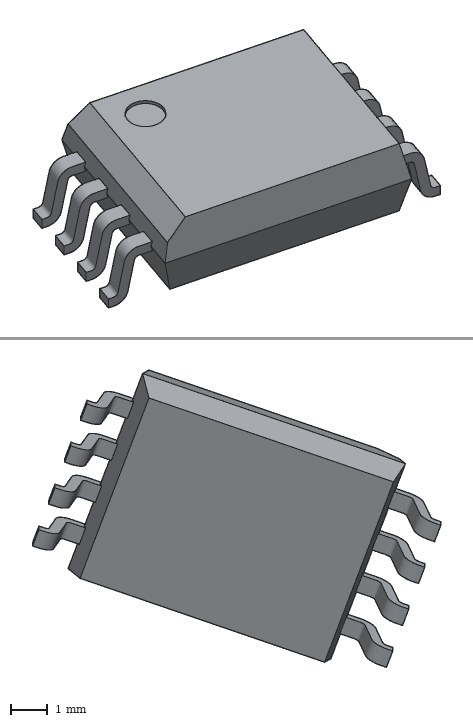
import cadquery as cq
import math

SPAN = 10.19
OVERALL_HEIGHT = 2.83

HOUSING_WIDTH = 5.93
HOUSING_LENGTH = 7.57
STANDOFF = 0.47
SIDE_TAPER = 0.22
END_TAPER = 0.26
BEVEL_TOP_Y = -3.05
PARTING_Z = (STANDOFF + OVERALL_HEIGHT) / 2
HALF_HEIGHT = OVERALL_HEIGHT - PARTING_Z
BEVEL_DROP = HALF_HEIGHT / 2

MARK_DIAMETER = 1.1
MARK_DEPTH = 0.1
MARK_X = -1.62
MARK_Y = -1.94

LEADS_PER_SIDE = 4
LEAD_PITCH = 1.27
LEAD_WIDTH = 0.5
LEAD_THICKNESS = 0.32
INNER_BEND = 0.14
OUTER_BEND = INNER_BEND + LEAD_THICKNESS
FOOT_FLAT = 0.15
SHOULDER_BEND_Y = 4.16
LEAD_TOP_Z = PARTING_Z + LEAD_THICKNESS / 2


def side_profile():
    """Housing outline in YZ: six sides, plus a bevel on the upper -Y corner."""
    half = HOUSING_LENGTH / 2
    inner = half - END_TAPER
    bevel_low_y = -half + END_TAPER * (1 - BEVEL_DROP / HALF_HEIGHT)
    return [
        (-half, PARTING_Z),
        (-inner, STANDOFF),
        (inner, STANDOFF),
        (half, PARTING_Z),
        (inner, OVERALL_HEIGHT),
        (BEVEL_TOP_Y, OVERALL_HEIGHT),
        (bevel_low_y, OVERALL_HEIGHT - BEVEL_DROP),
    ]


def end_profile():
    """Housing outline in XZ: a six-sided section, widest at the parting plane."""
    half = HOUSING_WIDTH / 2
    inner = half - SIDE_TAPER
    return [
        (-half, PARTING_Z),
        (-inner, STANDOFF),
        (inner, STANDOFF),
        (half, PARTING_Z),
        (inner, OVERALL_HEIGHT),
        (-inner, OVERALL_HEIGHT),
    ]


def make_housing():
    """Tapered housing, common to both profiles, with the round pin-1 recess."""
    along_x = cq.Workplane("YZ").polyline(side_profile()).close().extrude(HOUSING_WIDTH / 2, both=True)
    along_y = cq.Workplane("XZ").polyline(end_profile()).close().extrude(HOUSING_LENGTH / 2, both=True)
    mark = (
        cq.Workplane("XY", origin=(MARK_X, MARK_Y, OVERALL_HEIGHT))
        .circle(MARK_DIAMETER / 2)
        .extrude(-MARK_DEPTH)
    )
    return along_x.intersect(along_y).cut(mark)


def on_circle(center, radius, angle):
    """Point on a circle in YZ, with the angle in radians from +Y toward +Z."""
    return (center[0] + radius * math.cos(angle), center[1] + radius * math.sin(angle))


def lead_outline():
    """Closed gull-wing outline in YZ for a lead that points to +Y."""
    root_y = HOUSING_LENGTH / 2 - END_TAPER
    tip_y = SPAN / 2
    shoulder = (SHOULDER_BEND_Y, LEAD_TOP_Z - OUTER_BEND)
    foot = (tip_y - FOOT_FLAT, OUTER_BEND)

    run = foot[0] - shoulder[0]
    drop = shoulder[1] - foot[1]
    leg_angle = math.atan2(run, drop) - math.asin((INNER_BEND + OUTER_BEND) / math.hypot(run, drop))

    up = math.pi / 2
    shoulder_mid = (up + leg_angle) / 2
    down = up + math.pi
    foot_leg = leg_angle + math.pi
    foot_mid = shoulder_mid + math.pi

    return (
        cq.Workplane("YZ")
        .moveTo(root_y, LEAD_TOP_Z)
        .lineTo(*on_circle(shoulder, OUTER_BEND, up))
        .threePointArc(on_circle(shoulder, OUTER_BEND, shoulder_mid), on_circle(shoulder, OUTER_BEND, leg_angle))
        .lineTo(*on_circle(foot, INNER_BEND, foot_leg))
        .threePointArc(on_circle(foot, INNER_BEND, foot_mid), on_circle(foot, INNER_BEND, down))
        .lineTo(tip_y, LEAD_THICKNESS)
        .lineTo(tip_y, 0)
        .lineTo(*on_circle(foot, OUTER_BEND, down))
        .threePointArc(on_circle(foot, OUTER_BEND, foot_mid), on_circle(foot, OUTER_BEND, foot_leg))
        .lineTo(*on_circle(shoulder, INNER_BEND, leg_angle))
        .threePointArc(on_circle(shoulder, INNER_BEND, shoulder_mid), on_circle(shoulder, INNER_BEND, up))
        .lineTo(root_y, LEAD_TOP_Z - LEAD_THICKNESS)
        .close()
    )


def make_lead(housing):
    """One lead at X = 0 on the +Y side, its root trimmed to fit the housing end."""
    return lead_outline().extrude(LEAD_WIDTH / 2, both=True).cut(housing)


housing = make_housing()
lead = make_lead(housing)

leads = []
for side_turn in (0, 180):
    for index in range(LEADS_PER_SIDE):
        lead_x = (index - (LEADS_PER_SIDE - 1) / 2) * LEAD_PITCH
        placed = lead.rotate((0, 0, 0), (0, 0, 1), side_turn).translate((lead_x, 0, 0))
        leads.append(placed.solids().val())

result = cq.Compound.makeCompound([housing.solids().val(), *leads])